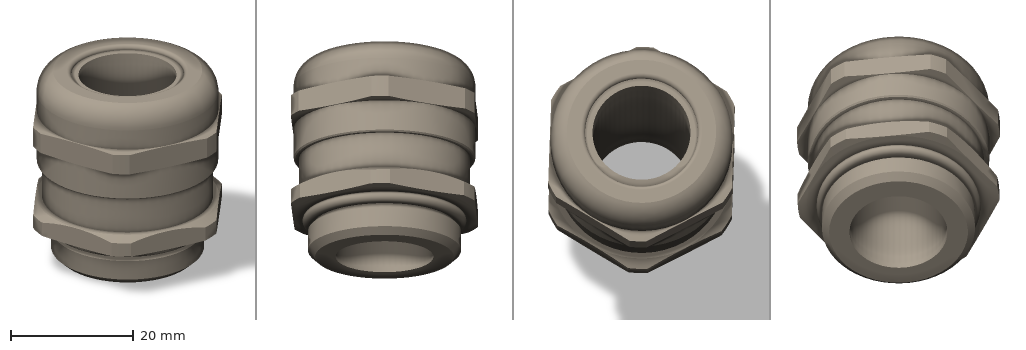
import cadquery as cq
import math

HEIGHT = 33.0
ACROSS_FLATS = 30.0

SPIGOT_R = 25.02 / 2
SPIGOT_END_R = 11.35
SPIGOT_CHAMFER_H = 1.1
SPIGOT_TOP = 4.45
UNDERCUT_R = 11.7
UNDERCUT_TOP = 5.25

SEAL_R = 13.4
SEAL_BOTTOM = 5.35

LOWER_HEX_BOTTOM = 7.03
LOWER_HEX_TOP = 10.4
LOWER_HEX_R = 16.47
LOWER_HEX_FACE_R = 14.95
LOWER_HEX_TOP_DROP = 0.83
LOWER_HEX_BOTTOM_DROP = 0.15

NECK_R = 28.0 / 2

CAP_R = 29.7 / 2
CAP_BOTTOM = 16.7
CAP_CHAMFER = 0.23
UPPER_HEX_BOTTOM = 21.97
UPPER_HEX_TOP = 25.85
UPPER_HEX_R = 16.57
UPPER_HEX_DROP = 0.2
DOME_BOTTOM = 29.3
DOME_TOP_R = 12.2

BORE_R = 16.0 / 2
RECESS_R = 18.45 / 2
RECESS_DEPTH = 0.8
MOUTH_ROUND = 0.7


def turned(profile):
    """Solid of revolution about Z from an open half-section that starts and ends on the axis."""
    return profile.close().revolve(360, (0, 0, 0), (0, 1, 0))


def cylinder(radius, bottom, top):
    return cq.Workplane("XY").workplane(offset=bottom).circle(radius).extrude(top - bottom)


def hexagon(bottom, top, face_r, corner_r, bottom_drop, top_drop):
    """Hexagon with corners turned to corner_r and both ends beveled by a cone outside face_r."""
    prism = (
        cq.Workplane("XY")
        .workplane(offset=bottom)
        .polygon(6, ACROSS_FLATS / math.cos(math.pi / 6))
        .extrude(top - bottom)
    )
    turned_blank = turned(
        cq.Workplane("XZ")
        .moveTo(0, bottom)
        .lineTo(face_r, bottom)
        .lineTo(corner_r, bottom + bottom_drop)
        .lineTo(corner_r, top - top_drop)
        .lineTo(face_r, top)
        .lineTo(0, top)
    )
    return prism.intersect(turned_blank)


def spigot():
    return turned(
        cq.Workplane("XZ")
        .lineTo(SPIGOT_END_R, 0)
        .lineTo(SPIGOT_R, SPIGOT_CHAMFER_H)
        .lineTo(SPIGOT_R, SPIGOT_TOP)
        .lineTo(UNDERCUT_R, UNDERCUT_TOP)
        .lineTo(UNDERCUT_R, LOWER_HEX_BOTTOM)
        .lineTo(0, LOWER_HEX_BOTTOM)
    )


def seal():
    half_height = (LOWER_HEX_BOTTOM - SEAL_BOTTOM) / 2
    return turned(
        cq.Workplane("XZ")
        .moveTo(0, SEAL_BOTTOM)
        .lineTo(SEAL_R - half_height, SEAL_BOTTOM)
        .threePointArc(
            (SEAL_R, SEAL_BOTTOM + half_height),
            (SEAL_R - half_height, LOWER_HEX_BOTTOM),
        )
        .lineTo(0, LOWER_HEX_BOTTOM)
    )


def cap():
    run = CAP_R - DOME_TOP_R
    rise = HEIGHT - DOME_BOTTOM
    dome_r = (run**2 + rise**2) / (2 * run)
    half_angle = math.asin(rise / dome_r) / 2
    dome_middle = (
        CAP_R - dome_r * (1 - math.cos(half_angle)),
        DOME_BOTTOM + dome_r * math.sin(half_angle),
    )
    return turned(
        cq.Workplane("XZ")
        .moveTo(0, CAP_BOTTOM)
        .lineTo(CAP_R - CAP_CHAMFER, CAP_BOTTOM)
        .lineTo(CAP_R, CAP_BOTTOM + CAP_CHAMFER)
        .lineTo(CAP_R, DOME_BOTTOM)
        .threePointArc(dome_middle, (DOME_TOP_R, HEIGHT))
        .lineTo(0, HEIGHT)
    )


def opening():
    inset = MOUTH_ROUND * (1 - math.cos(math.pi / 4))
    mouth_middle = (RECESS_R + inset, HEIGHT - inset)
    return turned(
        cq.Workplane("XZ")
        .lineTo(BORE_R, 0)
        .lineTo(BORE_R, HEIGHT - RECESS_DEPTH)
        .lineTo(RECESS_R, HEIGHT - RECESS_DEPTH)
        .lineTo(RECESS_R, HEIGHT - MOUTH_ROUND)
        .threePointArc(mouth_middle, (RECESS_R + MOUTH_ROUND, HEIGHT))
        .lineTo(0, HEIGHT)
    )


lower_hex = hexagon(
    LOWER_HEX_BOTTOM,
    LOWER_HEX_TOP,
    LOWER_HEX_FACE_R,
    LOWER_HEX_R,
    LOWER_HEX_BOTTOM_DROP,
    LOWER_HEX_TOP_DROP,
)
upper_hex = hexagon(
    UPPER_HEX_BOTTOM,
    UPPER_HEX_TOP,
    CAP_R,
    UPPER_HEX_R,
    UPPER_HEX_DROP,
    UPPER_HEX_DROP,
)
neck = cylinder(NECK_R, LOWER_HEX_TOP, CAP_BOTTOM)

result = (
    spigot()
    .union(seal())
    .union(lower_hex)
    .union(neck)
    .union(cap())
    .union(upper_hex)
    .cut(opening())
)